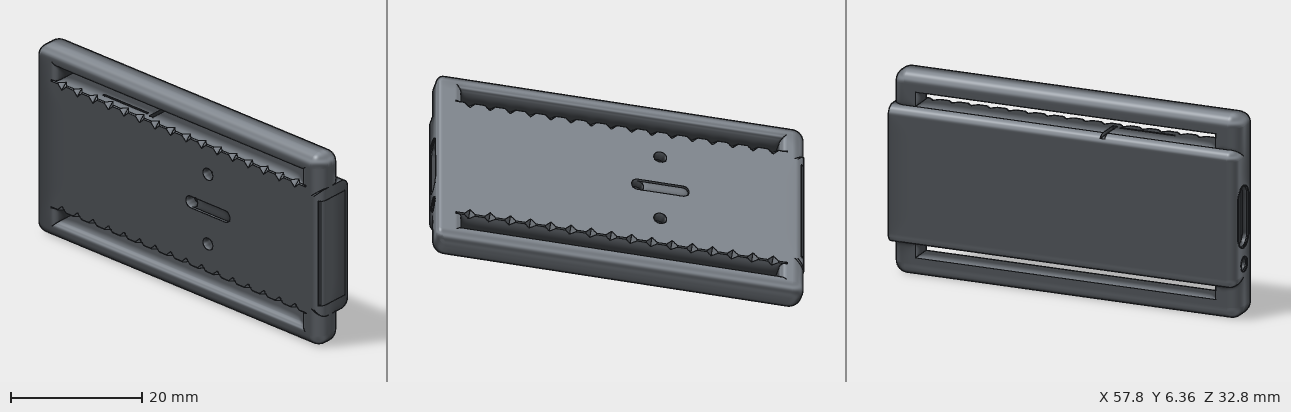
import cadquery as cq


left_x = -28.9
right_x = 28.9
frame_height = 32.8
frame_depth = 4.9
frame_radius = 2.0
left_front_radius = 0.8

housing_height = 22.0
housing_depth = 6.36
housing_radius = 1.5

slot_length = 50.0
slot_inner_z = housing_height / 2
slot_width = 2.3
slot_edge_radius = 1.0
slot_inner_chamfer = 0.17
edge_tolerance = 0.01

notch_count = 16
notch_pitch = 3.17
notch_size = 1.0

left_wall = 1.0
cavity_height = 18.0
cavity_front_y = 1.9
cavity_back_y = 5.36

cover_thickness = 0.65
cover_front_y = 0.6
cover_back_y = 5.76

front_hole_diameter = 2.0
front_hole_x = 6.05
front_hole_z = 6.0
switch_slot_length = 9.0
switch_slot_depth = 0.45

port_y = 3.15
port_width = 3.6
port_length = 9.7
side_hole_y = 2.86
side_hole_z = -7.7
side_hole_diameter = 2.1
rim_chamfer = 0.15

groove_depth = 0.6
cross_groove_x = -6.65
cross_groove_width = 0.75
cross_groove_front_y = 1.25
long_groove_start_x = -16.8
long_groove_length = 9.0
long_groove_y = 1.75
long_groove_width = 0.35


def block(x_min, x_max, y_min, y_max, z_min, z_max):
    """Box given by its limits along each axis."""
    size = (x_max - x_min, y_max - y_min, z_max - z_min)
    return cq.Workplane("XY").box(*size, centered=False).translate((x_min, y_min, z_min))


def make_frame():
    """Rounded plate; its left front edge stays sharp until the housing joins it."""
    half = frame_height / 2
    frame = block(left_x, right_x, 0, frame_depth, -half, half)
    left_front = frame.faces("<Y").edges("<X").val()
    rounded_edges = [edge for edge in frame.edges().vals() if not edge.isSame(left_front)]
    return frame.newObject(rounded_edges).fillet(frame_radius)


def make_housing():
    """Central block, rounded except at its left front and right back edges."""
    half = housing_height / 2
    housing = block(left_x, right_x, 0, housing_depth, -half, half)
    left_front = housing.faces("<Y").edges("<X").val()
    right_end = housing.faces(">X")
    sharp_edges = [left_front, *right_end.edges("|Y").vals(), right_end.edges(">Y").val()]
    rounded_edges = [
        edge for edge in housing.edges().vals() if not any(edge.isSame(sharp) for sharp in sharp_edges)
    ]
    return housing.newObject(rounded_edges).fillet(housing_radius)


def is_slot_edge(edge, side):
    """True for a front edge that bounds the strap slot on the given side (1 upper, -1 lower)."""
    center = edge.Center()
    distance = side * center.z
    inside_length = abs(center.x) <= slot_length / 2 + edge_tolerance
    inside_width = -edge_tolerance <= distance - slot_inner_z <= slot_width + edge_tolerance
    return inside_length and inside_width


def cut_strap_slots(body):
    """Two slots through the frame, flared at the front along all but the inner edge."""
    half = slot_length / 2
    outer_z = slot_inner_z + slot_width
    for side in (-1, 1):
        z_min, z_max = sorted((side * slot_inner_z, side * outer_z))
        body = body.cut(block(-half, half, 0, housing_depth, z_min, z_max))
        slot_edges = [edge for edge in body.faces("<Y").edges().vals() if is_slot_edge(edge, side)]
        inner_edge = min(slot_edges, key=lambda edge: abs(edge.Center().z))
        flared_edges = [edge for edge in slot_edges if not edge.isSame(inner_edge)]
        body = body.newObject(flared_edges).fillet(slot_edge_radius)
    return body


def ease_inner_slot_edges(body):
    """Small chamfer where each strap slot meets the front of the housing."""
    flared_length = slot_length + 2 * slot_edge_radius
    for side in (-1, 1):
        wedge = (
            cq.Workplane("YZ", origin=(-flared_length / 2, 0, 0))
            .moveTo(0, side * slot_inner_z)
            .lineTo(0, side * (slot_inner_z - slot_inner_chamfer))
            .lineTo(slot_inner_chamfer, side * slot_inner_z)
            .close()
            .extrude(flared_length)
        )
        body = body.cut(wedge)
    return body


def make_notch(x, side):
    """Three-sided pyramid that nicks the front edge of a strap slot."""
    edge_z = side * slot_inner_z
    left = cq.Vector(x - notch_size, 0, edge_z)
    right = cq.Vector(x + notch_size, 0, edge_z)
    tip = cq.Vector(x, 0, edge_z - side * notch_size)
    back = cq.Vector(x, notch_size, edge_z)
    corners = [(left, right, tip), (left, tip, back), (tip, right, back), (right, left, back)]
    faces = [cq.Face.makeFromWires(cq.Wire.makePolygon(points, close=True)) for points in corners]
    return cq.Solid.makeSolid(cq.Shell.makeShell(faces))


def cut_grip_notches(body):
    """Row of notches along each strap slot."""
    first_x = -notch_pitch * (notch_count - 1) / 2
    for side in (-1, 1):
        for index in range(notch_count):
            body = body.cut(cq.Workplane(make_notch(first_x + index * notch_pitch, side)))
    return body


def cut_cavity(body):
    """Room for the electronics, reaching through the right end."""
    half = cavity_height / 2
    return body.cut(block(left_x + left_wall, right_x, cavity_front_y, cavity_back_y, -half, half))


def cut_front_openings(body):
    """Two round holes and a shallow slot with a hole at its left end."""
    slot_end_x = front_hole_x - (switch_slot_length - front_hole_diameter) / 2
    front = cq.Workplane("XZ")
    holes = (
        front.pushPoints([(front_hole_x, front_hole_z), (front_hole_x, -front_hole_z), (slot_end_x, 0)])
        .circle(front_hole_diameter / 2)
        .extrude(-cavity_front_y)
    )
    switch_slot = (
        front.center(front_hole_x, 0)
        .slot2D(switch_slot_length, front_hole_diameter)
        .extrude(-switch_slot_depth)
    )
    return body.cut(holes).cut(switch_slot)


def cut_left_openings(body):
    """Connector port and a round hole through the left wall, with eased rims."""
    left_end = cq.Workplane("YZ", origin=(left_x, 0, 0))
    port = left_end.center(port_y, 0).slot2D(port_length, port_width, 90).extrude(left_wall)
    hole = left_end.center(side_hole_y, side_hole_z).circle(side_hole_diameter / 2).extrude(left_wall)
    port_rim = (
        left_end.center(port_y, 0)
        .slot2D(port_length + 2 * rim_chamfer, port_width + 2 * rim_chamfer, 90)
        .extrude(2 * rim_chamfer)
        .faces(">X")
        .chamfer(rim_chamfer)
    )
    hole_rim = (
        left_end.center(side_hole_y, side_hole_z)
        .circle(side_hole_diameter / 2 + rim_chamfer)
        .extrude(2 * rim_chamfer)
        .faces(">X")
        .chamfer(rim_chamfer)
    )
    return body.cut(port).cut(hole).cut(port_rim).cut(hole_rim)


def cut_upper_grooves(body):
    """Cross groove running out at the back and a narrow groove along the housing."""
    top_z = housing_height / 2
    floor_z = top_z - groove_depth
    half_cross = cross_groove_width / 2
    half_long = long_groove_width / 2
    cross_groove = block(
        cross_groove_x - half_cross,
        cross_groove_x + half_cross,
        cross_groove_front_y,
        housing_depth,
        floor_z,
        top_z,
    )
    long_groove = block(
        long_groove_start_x,
        long_groove_start_x + long_groove_length,
        long_groove_y - half_long,
        long_groove_y + half_long,
        floor_z,
        top_z,
    )
    return body.cut(cross_groove).cut(long_groove)


def cover_recess(front_y):
    """Space in the right end for the cover, starting at the given distance from the front."""
    half = cavity_height / 2
    return block(right_x - cover_thickness, right_x, front_y, cover_back_y, -half, half)


def make_case():
    """Frame and housing as one body with all its openings."""
    case = cut_strap_slots(make_frame()).union(make_housing())
    case = case.faces("<Y").edges("<X").fillet(left_front_radius)
    case = ease_inner_slot_edges(case)
    case = cut_grip_notches(case)
    case = cut_cavity(case)
    case = cut_front_openings(case)
    case = cut_left_openings(case)
    case = cut_upper_grooves(case)
    return case.cut(cover_recess(0))


def make_end_cover():
    """Plate that closes the cavity, rounded like the end of the housing."""
    return cover_recess(cover_front_y).intersect(make_housing())


case = make_case()
end_cover = make_end_cover()

result = cq.Compound.makeCompound([case.val(), end_cover.val()])